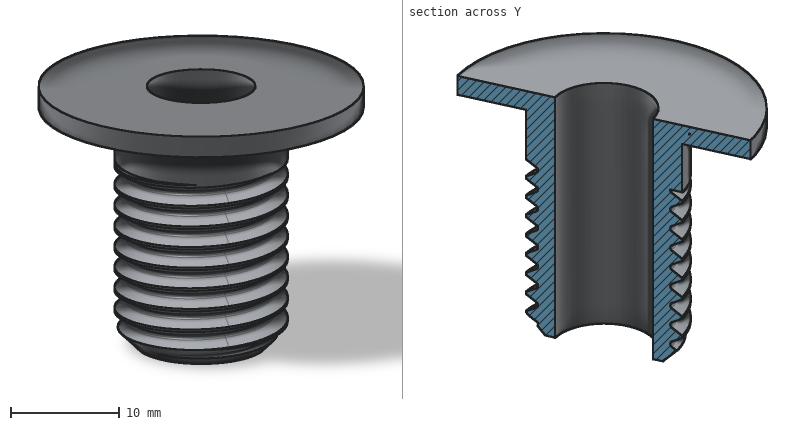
import cadquery as cq
import math

flange_diameter = 30.0
flange_thickness = 2.0
shoulder_diameter = 16.0
shoulder_length = 5.0
bore_diameter = 10.0

thread_length = 18.0
thread_diameter = 16.0
thread_pitch = 2.0
flank_half_angle = math.radians(30.0)
sharp_height = thread_pitch / (2 * math.tan(flank_half_angle))
crest_width = thread_pitch / 8
root_fillet = sharp_height / 6
tip_chamfer = 2.0

groove_start = -thread_pitch / 2
groove_end = thread_length + thread_pitch / 2
groove_turns = math.ceil((groove_end - groove_start) / thread_pitch)
groove_overshoot = 0.2

thread_radius = thread_diameter / 2
vee_radius = thread_radius - (thread_pitch - crest_width) / (2 * math.tan(flank_half_angle))
root_radius = vee_radius + root_fillet * (1 / math.sin(flank_half_angle) - 1)
shoulder_top = thread_length + shoulder_length
total_length = shoulder_top + flange_thickness


def cylinder(diameter, bottom, height):
    """Solid cylinder on the Z axis."""
    return cq.Workplane("XY").workplane(offset=bottom).circle(diameter / 2).extrude(height)


def groove_turn(start_height):
    """One turn of the round-bottomed helical groove between neighbouring thread crests."""
    outer_radius = thread_radius + groove_overshoot
    outer_half_width = (outer_radius - vee_radius) * math.tan(flank_half_angle)
    tangent_radius = root_radius + root_fillet * (1 - math.sin(flank_half_angle))
    tangent_half_width = root_fillet * math.cos(flank_half_angle)

    helix = cq.Wire.makeHelix(thread_pitch, thread_pitch, root_radius)
    profile = (
        cq.Workplane("XZ")
        .moveTo(tangent_radius, -tangent_half_width)
        .lineTo(outer_radius, -outer_half_width)
        .lineTo(outer_radius, outer_half_width)
        .lineTo(tangent_radius, tangent_half_width)
        .threePointArc((root_radius, 0), (tangent_radius, -tangent_half_width))
        .close()
    )
    groove = profile.sweep(cq.Workplane(helix), isFrenet=True)
    return groove.translate((0, 0, start_height))


def threaded_shank():
    """Chamfered rod with the thread groove running out at both ends."""
    rod = cylinder(thread_diameter, 0, thread_length).faces("<Z").chamfer(tip_chamfer)
    for turn in range(groove_turns):
        rod = rod.cut(groove_turn(groove_start + turn * thread_pitch))
    return rod


shoulder = cylinder(shoulder_diameter, thread_length, shoulder_length)
flange = cylinder(flange_diameter, shoulder_top, flange_thickness)
bore = cylinder(bore_diameter, 0, total_length)

result = threaded_shank().union(shoulder).union(flange).cut(bore)